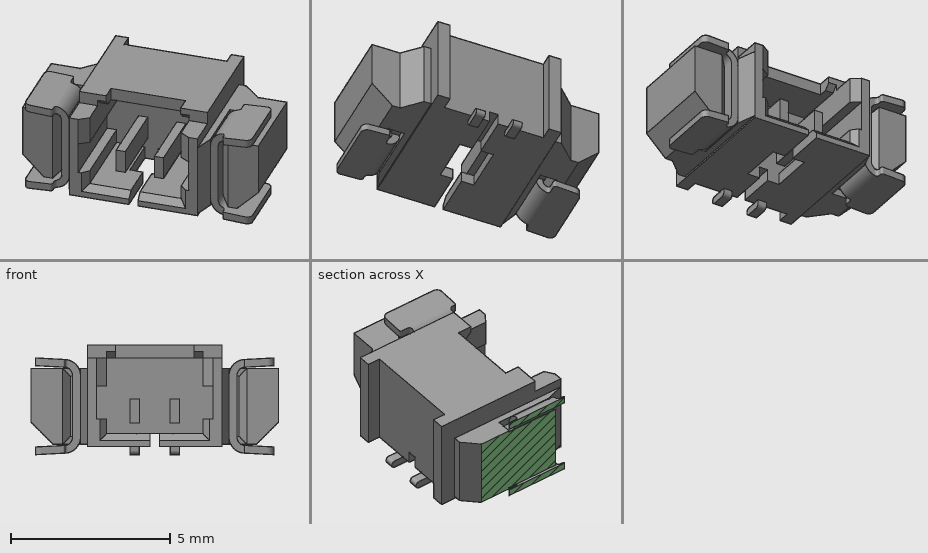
import cadquery as cq
import math


OVERALL_LENGTH = 7.79

BODY_HALF_WIDTH = 2.12
BODY_BOTTOM_Z = 0.26
ROOF_TOP_Z = 3.45
REAR_WALL_Y = 4.26
REAR_TAB_END_Y = 4.7
REAR_TAB_INNER_X = 1.7
ROOF_FRONT_Y = 1.01
ROOF_NOTCH_HALF_WIDTH = 1.23
ROOF_NOTCH_END_Y = 1.5

CAVITY_HALF_WIDTH = 1.51
CAVITY_FLOOR_Z = 0.66
CAVITY_CEILING_Z = 3.045
CAVITY_DEPTH = 2.92
GROOVE_HALF_WIDTH = 1.82
GROOVE_BOTTOM_Z = 1.12
GROOVE_TOP_Z = 2.16
LEAD_IN_DEPTH = 0.21
CEILING_LEAD_IN = 0.195
FLOOR_SLOT_HALF_WIDTH = 0.15
FLOOR_WINDOW_HALF_WIDTH = 0.58
FLOOR_WINDOW_START_Y = 1.41

PIN_X = 0.63
PIN_WIDTH = 0.3
PIN_TIP_Y = 0.655
PIN_BOTTOM_Z = 1.005
PIN_TOP_Z = 1.76
TAIL_START_Y = 4.02
TAIL_RADIUS = 0.125

EAR_OUTER_X = OVERALL_LENGTH / 2
EAR_BOTTOM_Z = 0.33
EAR_TOP_Z = 2.72
EAR_MID_Z = (EAR_BOTTOM_Z + EAR_TOP_Z) / 2
EAR_FRONT_Y = 0.71
EAR_ROOT_REAR_Y = 4.18
EAR_REAR_Y = 3.61
EAR_SLOPE_END_X = 2.94
EAR_BOTTOM_CHAMFER = 0.7
SLOT_INNER_X = 2.34
SLOT_OUTER_X = 2.65
SLOT_CHAMFER = 0.25
SLOT_RECESS_END_Y = 2.6

CLIP_THICKNESS = 0.25
CLIP_BEND_RADIUS = 0.5
CLIP_TILT = 3.0
CLIP_OUTER_X = 3.75
CLIP_TIP_TOP_Z = 2 * EAR_MID_Z
CLIP_NECK_FRONT_Y = 0.655
CLIP_NECK_REAR_Y = 2.21
PAD_INNER_X = 2.81
PAD_FRONT_Y = 0.4
PAD_REAR_Y = 2.6
PAD_OUTER_RADIUS = 0.195
PAD_INNER_RADIUS = 0.07
NECK_FILLET = 0.1


def box(x_range, y_range, z_range):
    """Axis-aligned box spanning the given (low, high) ranges."""
    (x0, x1), (y0, y1), (z0, z1) = x_range, y_range, z_range
    return cq.Workplane("XY").box(x1 - x0, y1 - y0, z1 - z0, centered=False).translate((x0, y0, z0))


def centred_box(half_width, y_range, z_range):
    return box((-half_width, half_width), y_range, z_range)


def prism_z(points, z_range):
    """XY outline raised between two heights."""
    z0, z1 = z_range
    return cq.Workplane("XY").workplane(offset=z0).polyline(points).close().extrude(z1 - z0)


def prism_y(points, y_range):
    """XZ outline swept between two Y positions."""
    y0, y1 = y_range
    return cq.Workplane("XZ", origin=(0, y0, 0)).polyline(points).close().extrude(y0 - y1)


def both_sides(solid):
    return solid.union(solid.mirror("YZ"))


def lead_in(outer, inner):
    """Funnel from a (half width, bottom, top) opening at Y = 0 to a smaller one further back."""

    def rectangle(opening, y):
        half_width, bottom, top = opening
        corners = [(-half_width, bottom), (half_width, bottom), (half_width, top), (-half_width, top)]
        return cq.Wire.makePolygon([cq.Vector(x, y, z) for x, z in corners], close=True)

    return cq.Workplane(cq.Solid.makeLoft([rectangle(outer, 0), rectangle(inner, LEAD_IN_DEPTH)], True))


def make_body():
    body = centred_box(BODY_HALF_WIDTH, (0, REAR_WALL_Y), (BODY_BOTTOM_Z, ROOF_TOP_Z))
    rear_tab = box(
        (REAR_TAB_INNER_X, BODY_HALF_WIDTH), (REAR_WALL_Y, REAR_TAB_END_Y), (BODY_BOTTOM_Z, ROOF_TOP_Z)
    )
    body = body.union(both_sides(rear_tab))
    roof_height = (CAVITY_CEILING_Z, ROOF_TOP_Z)
    body = body.cut(centred_box(BODY_HALF_WIDTH, (0, ROOF_FRONT_Y), roof_height))
    return body.cut(centred_box(ROOF_NOTCH_HALF_WIDTH, (0, ROOF_NOTCH_END_Y), roof_height))


def make_cavity():
    depth = (0, CAVITY_DEPTH)
    cavity = centred_box(CAVITY_HALF_WIDTH, depth, (CAVITY_FLOOR_Z, CAVITY_CEILING_Z))
    cavity = cavity.union(centred_box(GROOVE_HALF_WIDTH, depth, (GROOVE_BOTTOM_Z, GROOVE_TOP_Z)))

    lower_outer = (CAVITY_HALF_WIDTH + LEAD_IN_DEPTH, CAVITY_FLOOR_Z - LEAD_IN_DEPTH, GROOVE_BOTTOM_Z)
    lower_inner = (CAVITY_HALF_WIDTH, CAVITY_FLOOR_Z, GROOVE_BOTTOM_Z)
    cavity = cavity.union(lead_in(lower_outer, lower_inner))

    upper_outer = (GROOVE_HALF_WIDTH, GROOVE_TOP_Z, CAVITY_CEILING_Z)
    upper_inner = (CAVITY_HALF_WIDTH, GROOVE_TOP_Z, CAVITY_CEILING_Z)
    cavity = cavity.union(lead_in(upper_outer, upper_inner))

    ceiling_bevel = (
        cq.Workplane("YZ", origin=(-CAVITY_HALF_WIDTH, 0, 0))
        .moveTo(ROOF_FRONT_Y, CAVITY_CEILING_Z)
        .lineTo(ROOF_FRONT_Y + CEILING_LEAD_IN, CAVITY_CEILING_Z)
        .lineTo(ROOF_FRONT_Y, CAVITY_CEILING_Z + CEILING_LEAD_IN)
        .close()
        .extrude(2 * CAVITY_HALF_WIDTH)
    )
    return cavity.union(ceiling_bevel)


def make_floor_opening():
    """Slot along the whole floor, widening under the pins at the rear of the cavity."""
    floor = (BODY_BOTTOM_Z, CAVITY_FLOOR_Z)
    slot = centred_box(FLOOR_SLOT_HALF_WIDTH, (0, REAR_WALL_Y), floor)
    window = centred_box(FLOOR_WINDOW_HALF_WIDTH, (FLOOR_WINDOW_START_Y, CAVITY_DEPTH), floor)
    return slot.union(window)


def make_ear():
    """Right-hand ear, with the slot that holds the solder clip."""
    slope_run = EAR_ROOT_REAR_Y - EAR_REAR_Y
    outline = [
        (BODY_HALF_WIDTH, 0),
        (SLOT_INNER_X, CLIP_NECK_FRONT_Y),
        (SLOT_INNER_X, EAR_FRONT_Y),
        (EAR_OUTER_X, EAR_FRONT_Y),
        (EAR_OUTER_X, EAR_REAR_Y),
        (EAR_SLOPE_END_X, EAR_REAR_Y),
        (EAR_SLOPE_END_X - slope_run, EAR_ROOT_REAR_Y),
        (BODY_HALF_WIDTH, EAR_ROOT_REAR_Y),
    ]
    height = (EAR_BOTTOM_Z, EAR_TOP_Z)
    ear = prism_z(outline, height)
    outer_bevel = [
        (EAR_OUTER_X, EAR_BOTTOM_Z),
        (EAR_OUTER_X, EAR_BOTTOM_Z + EAR_BOTTOM_CHAMFER),
        (EAR_OUTER_X - EAR_BOTTOM_CHAMFER, EAR_BOTTOM_Z),
    ]
    ear = ear.cut(prism_y(outer_bevel, (EAR_FRONT_Y, EAR_REAR_Y)))

    ear = ear.cut(box((SLOT_INNER_X, SLOT_OUTER_X), (EAR_FRONT_Y, CLIP_NECK_REAR_Y), height))
    front_flare = [
        (SLOT_INNER_X, EAR_FRONT_Y),
        (SLOT_OUTER_X + SLOT_CHAMFER, EAR_FRONT_Y),
        (SLOT_OUTER_X, EAR_FRONT_Y + SLOT_CHAMFER),
        (SLOT_INNER_X, EAR_FRONT_Y + SLOT_CHAMFER),
    ]
    ear = ear.cut(prism_z(front_flare, height))
    for rim_z, inward in ((EAR_TOP_Z, -SLOT_CHAMFER), (EAR_BOTTOM_Z, SLOT_CHAMFER)):
        rim_flare = [
            (SLOT_INNER_X, rim_z),
            (SLOT_OUTER_X + SLOT_CHAMFER, rim_z),
            (SLOT_OUTER_X, rim_z + inward),
            (SLOT_INNER_X, rim_z + inward),
        ]
        ear = ear.cut(prism_y(rim_flare, (EAR_FRONT_Y, SLOT_RECESS_END_Y)))
    return ear


def make_pin():
    """Right-hand contact: a blade in the cavity and a solder tail under the rear wall."""
    sides = (PIN_X - PIN_WIDTH / 2, PIN_X + PIN_WIDTH / 2)
    blade = box(sides, (PIN_TIP_Y, CAVITY_DEPTH), (PIN_BOTTOM_Z, PIN_TOP_Z))
    tail = box(sides, (TAIL_START_Y, REAR_TAB_END_Y), (0, BODY_BOTTOM_Z))
    tail = tail.edges("|X and (>Y or <Z)").fillet(TAIL_RADIUS)
    return blade.union(tail)


def make_clip_sheet():
    """Upper half of the bent clip strip: upright web, bend and slightly rising pad."""
    tilt = math.radians(CLIP_TILT)
    inner_radius = CLIP_BEND_RADIUS - CLIP_THICKNESS
    centre_x = SLOT_INNER_X + CLIP_BEND_RADIUS
    tip_drop = CLIP_BEND_RADIUS / math.cos(tilt) + (CLIP_OUTER_X - centre_x) * math.tan(tilt)
    centre_z = CLIP_TIP_TOP_Z - tip_drop

    def on_bend(radius, angle):
        return centre_x - radius * math.cos(angle), centre_z + radius * math.sin(angle)

    bend_end = math.pi / 2 - tilt
    under_tip_z = CLIP_TIP_TOP_Z - CLIP_THICKNESS / math.cos(tilt)
    return (
        cq.Workplane("XZ", origin=(0, PAD_FRONT_Y, 0))
        .moveTo(SLOT_INNER_X, EAR_MID_Z)
        .lineTo(SLOT_INNER_X, centre_z)
        .threePointArc(on_bend(CLIP_BEND_RADIUS, bend_end / 2), on_bend(CLIP_BEND_RADIUS, bend_end))
        .lineTo(CLIP_OUTER_X, CLIP_TIP_TOP_Z)
        .lineTo(CLIP_OUTER_X, under_tip_z)
        .lineTo(*on_bend(inner_radius, bend_end))
        .threePointArc(on_bend(inner_radius, bend_end / 2), on_bend(inner_radius, 0))
        .lineTo(SLOT_INNER_X + CLIP_THICKNESS, EAR_MID_Z)
        .close()
        .extrude(PAD_FRONT_Y - PAD_REAR_Y)
    )


def make_clip():
    """Right-hand solder clip, its upper and lower halves mirrored about mid height."""
    height = (EAR_MID_Z, CLIP_TIP_TOP_Z)
    pad = box((PAD_INNER_X, CLIP_OUTER_X), (PAD_FRONT_Y, PAD_REAR_Y), height)
    pad = pad.edges("|Z and >X").fillet(PAD_OUTER_RADIUS)
    pad = pad.edges("|Z and <X").fillet(PAD_INNER_RADIUS)
    neck = box((SLOT_INNER_X, PAD_INNER_X), (CLIP_NECK_FRONT_Y, CLIP_NECK_REAR_Y), height)
    blank = pad.union(neck)
    for corner_y in (CLIP_NECK_FRONT_Y, CLIP_NECK_REAR_Y):
        corner = cq.selectors.NearestToPointSelector((PAD_INNER_X, corner_y, EAR_MID_Z))
        blank = blank.edges("|Z").edges(corner).fillet(NECK_FILLET)

    upper_half = make_clip_sheet().intersect(blank)
    return upper_half.union(upper_half.mirror("XY", (0, 0, EAR_MID_Z)))


housing = make_body().cut(make_cavity()).cut(make_floor_opening())
result = housing.union(both_sides(make_ear()))
result = result.union(both_sides(make_pin()))
result = result.union(both_sides(make_clip()))